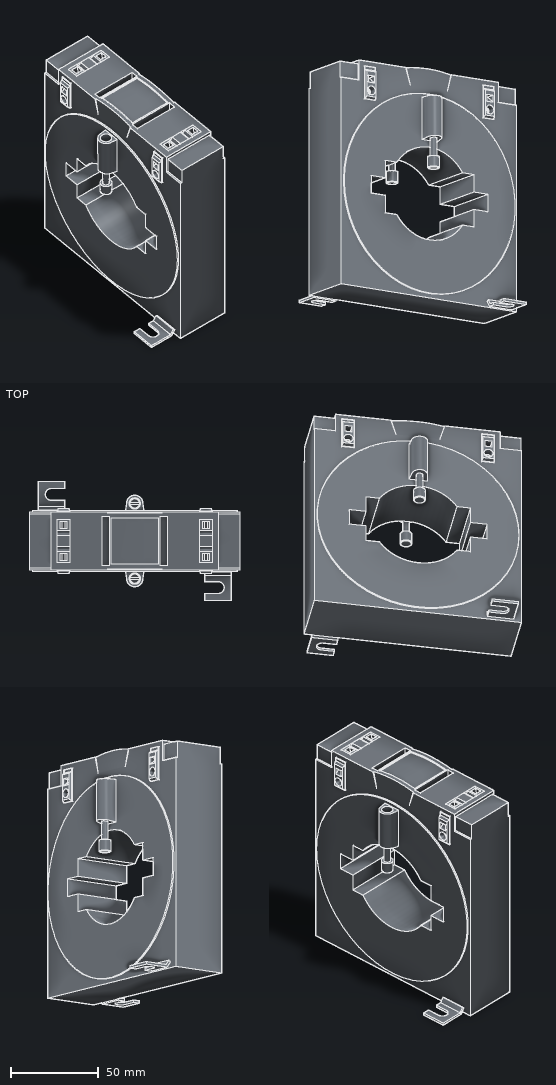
import cadquery as cq
import math


WIDTH = 120.0
HALF_DEPTH = 16.5
TOP_Z = 133.1
HEIGHT = 134.6

CORNER_INNER_X = 47.7
CORNER_TOP_Z = 131.0
CORNER_BOTTOM_Z = 121.4
CORNER_HALF_DEPTH = 15.5

WINDOW_Z = 61.0
DISC_RADIUS = 58.4
DISC_HALF_DEPTH = 17.5
WINDOW_RADIUS = 27.2
WIDE_BAR = (60.5, 30.7)
THIN_BAR = (79.8, 10.2)

LABEL_HALF_WIDTH = 15.5
LABEL_HALF_DEPTH = 15.9
LABEL_FOOT_HALF_WIDTH = 12.7
LABEL_FOOT_Z = 123.2
LABEL_POCKET_SIZE = (27.2, 26.3)
LABEL_POCKET_DEPTH = 0.8
GRIP_SLOT_X = 16.5
GRIP_SLOT_RADIUS = 2.2
GRIP_SLOT_LENGTH = 27.7
GRIP_SLOT_WALL_HEIGHT = 4.0

SCREW_Y = 21.4
TOWER_RADIUS = 4.7
TOWER_FOOT_HALF_WIDTH = 5.4
TOWER_TOP_Z = 116.9
TOWER_TIP_BOTTOM_Z = 93.3
TOWER_FOOT_BOTTOM_Z = 92.1
TOWER_BORE_RADIUS = 3.2
TOWER_BORE_FLOOR_Z = 96.3

SHANK_RADIUS = 1.9
SHANK_END_Z = 76.7
HEAD_RADIUS = 2.7
HEAD_HEIGHT = 3.4
DRIVER_SLOT_WIDTH = 1.1
DRIVER_SLOT_DEPTH = 1.1
CAP_TOP_Z = 81.8
CAP_BOTTOM_Z = 75.1
CAP_RADIUS = 3.4
CAP_EDGE = 0.4

TERMINAL_X = 40.5
TERMINAL_WIDTH = 7.3
TERMINAL_SHOULDER_Z = 130.0
TERMINAL_BOTTOM_Z = 110.8
TERMINAL_TOP_HALF_DEPTH = 12.3
TERMINAL_STEP_HALF_DEPTH = 17.1
TERMINAL_HALF_DEPTH = 18.6
NOSE_TOP_Z = 128.0
NOSE_FACE_TOP_Z = 127.0
NOSE_FACE_BOTTOM_Z = 112.1
NOSE_SIDE_TAPER = 0.5
TROUGH_Y = 4.6
TROUGH_RADIUS = 1.3
TOP_ENTRY_Y = 9.0
ENTRY_SIZE = 4.0
TOP_ENTRY_FLOOR = 1.6
TOP_ENTRY_DEPTH = 5.4
FRONT_ENTRY_TOP_Z = 124.4
FRONT_ENTRY_DEPTH = 5.4
TEST_HOLE_Z = 115.8
TEST_HOLE_RADIUS = 2.5
TEST_HOLE_FLOOR_RADIUS = 1.5
TEST_HOLE_DEPTH = 3.4
TEST_SOCKET_SIZE = 1.9
TEST_SOCKET_DEPTH = 4.7

FOOT_INNER_X = 39.8
FOOT_OUTER_X = 55.0
FOOT_SPAN = 68.0
FOOT_TIP_Y = FOOT_SPAN / 2
FOOT_BEND_Y = 19.0
FOOT_THICKNESS = 1.5
FOOT_CONTACT_Z = 3.4
FOOT_SLOT_Y = 26.5
FOOT_SLOT_WIDTH = 6.6
FOOT_SLOT_END_X = 50.9


def box(x_range, y_range, z_range):
    """Box between the given limits."""
    size = [high - low for low, high in (x_range, y_range, z_range)]
    return cq.Workplane("XY").box(*size, centered=False).translate((x_range[0], y_range[0], z_range[0]))


def cylinder(radius, y, bottom_z, top_z):
    """Vertical cylinder on the plane X = 0."""
    return cq.Workplane("XY", origin=(0, y, bottom_z)).circle(radius).extrude(top_z - bottom_z)


def both_sides(shape):
    """The shape together with its copy turned half a revolution about Z."""
    return [shape.rotate((0, 0, 0), (0, 0, 1), angle) for angle in (0, 180)]



def slab():
    body = box((-WIDTH / 2, WIDTH / 2), (-HALF_DEPTH, HALF_DEPTH), (0, TOP_Z))
    disc_plane = cq.Workplane("XZ", origin=(0, DISC_HALF_DEPTH, WINDOW_Z))
    body = body.union(disc_plane.circle(DISC_RADIUS).extrude(2 * DISC_HALF_DEPTH))
    corner = box((CORNER_INNER_X, WIDTH / 2), (-HALF_DEPTH, HALF_DEPTH), (CORNER_BOTTOM_Z, TOP_Z))
    kept = box((CORNER_INNER_X, WIDTH / 2), (-CORNER_HALF_DEPTH, CORNER_HALF_DEPTH),
               (CORNER_BOTTOM_Z, CORNER_TOP_Z))
    for step in both_sides(corner.cut(kept)):
        body = body.cut(step)
    return body


def conductor_window():
    plane = cq.Workplane("XZ", origin=(0, DISC_HALF_DEPTH, WINDOW_Z))
    window = plane.circle(WINDOW_RADIUS).extrude(2 * DISC_HALF_DEPTH)
    for bar in (WIDE_BAR, THIN_BAR):
        window = window.union(plane.rect(*bar).extrude(2 * DISC_HALF_DEPTH))
    return window


def dome(half_width, half_depth, lowering):
    """Solid under the label arc, down to the foot of the label flank, lowered by the given amount."""
    rise = HEIGHT - TOP_Z
    radius = (LABEL_HALF_WIDTH ** 2 + rise ** 2) / (2 * rise)
    edge_z = HEIGHT - radius + math.sqrt(radius ** 2 - half_width ** 2)
    return (
        cq.Workplane("XZ", origin=(0, half_depth, -lowering))
        .moveTo(-half_width, edge_z)
        .threePointArc((0, HEIGHT), (half_width, edge_z))
        .lineTo(half_width, LABEL_FOOT_Z)
        .lineTo(-half_width, LABEL_FOOT_Z)
        .close()
        .extrude(2 * half_depth)
    )


def label_flank():
    """Wedge that slopes the -Y flank of the label holder back from its foot to its top."""
    trapezoid = (
        cq.Workplane("XZ")
        .polyline([
            (-LABEL_FOOT_HALF_WIDTH, LABEL_FOOT_Z),
            (LABEL_FOOT_HALF_WIDTH, LABEL_FOOT_Z),
            (LABEL_HALF_WIDTH, TOP_Z),
            (LABEL_HALF_WIDTH, HEIGHT),
            (-LABEL_HALF_WIDTH, HEIGHT),
            (-LABEL_HALF_WIDTH, TOP_Z),
        ])
        .close()
        .extrude(HALF_DEPTH)
    )
    wedge = (
        cq.Workplane("YZ", origin=(-LABEL_HALF_WIDTH, 0, 0))
        .polyline([
            (-HALF_DEPTH, LABEL_FOOT_Z),
            (-LABEL_HALF_DEPTH, HEIGHT),
            (-HALF_DEPTH, HEIGHT),
        ])
        .close()
        .extrude(2 * LABEL_HALF_WIDTH)
    )
    return wedge.intersect(trapezoid)


def label_pocket():
    """Shallow pocket whose floor runs parallel to the dome."""
    pocket_width, pocket_depth = LABEL_POCKET_SIZE
    above = box((-pocket_width / 2, pocket_width / 2), (-pocket_depth / 2, pocket_depth / 2),
                (LABEL_FOOT_Z, HEIGHT))
    return above.cut(dome(pocket_width / 2, pocket_depth / 2, LABEL_POCKET_DEPTH))


def grip_slot():
    """Round-bottomed slot on the +X side of the label."""
    floor_centre_z = TOP_Z - GRIP_SLOT_WALL_HEIGHT
    half_length = GRIP_SLOT_LENGTH / 2
    plane = cq.Workplane("XZ", origin=(GRIP_SLOT_X, half_length, floor_centre_z))
    floor = plane.circle(GRIP_SLOT_RADIUS).extrude(GRIP_SLOT_LENGTH)
    walls = box((GRIP_SLOT_X - GRIP_SLOT_RADIUS, GRIP_SLOT_X + GRIP_SLOT_RADIUS),
                (-half_length, half_length), (floor_centre_z, HEIGHT))
    return floor.union(walls)


def add_label_holder(body):
    body = body.union(dome(LABEL_HALF_WIDTH, HALF_DEPTH, 0))
    for cutter in both_sides(label_flank()) + both_sides(grip_slot()):
        body = body.cut(cutter)
    return body.cut(label_pocket())


def screw_tower():
    """Tower on the -Y face: a round nose on a widening base, with a lower end that slopes inward."""
    foot_y = -HALF_DEPTH
    height = TOWER_TOP_Z - TOWER_FOOT_BOTTOM_Z
    tower = (
        cq.Workplane("XY", origin=(0, 0, TOWER_FOOT_BOTTOM_Z))
        .moveTo(-TOWER_FOOT_HALF_WIDTH, foot_y)
        .lineTo(-TOWER_RADIUS, -SCREW_Y)
        .threePointArc((0, -SCREW_Y - TOWER_RADIUS), (TOWER_RADIUS, -SCREW_Y))
        .lineTo(TOWER_FOOT_HALF_WIDTH, foot_y)
        .close()
        .extrude(height)
    )
    tip_y = -SCREW_Y - TOWER_RADIUS
    slope = (
        cq.Workplane("YZ", origin=(-TOWER_FOOT_HALF_WIDTH, 0, 0))
        .polyline([
            (-DISC_HALF_DEPTH, TOWER_FOOT_BOTTOM_Z),
            (tip_y, TOWER_TIP_BOTTOM_Z),
            (tip_y, TOWER_FOOT_BOTTOM_Z),
        ])
        .close()
        .extrude(2 * TOWER_FOOT_HALF_WIDTH)
    )
    return tower.cut(slope)


def tower_bore():
    bore = cylinder(TOWER_BORE_RADIUS, -SCREW_Y, TOWER_BORE_FLOOR_Z, TOWER_TOP_Z)
    return bore.union(cylinder(SHANK_RADIUS, -SCREW_Y, TOWER_FOOT_BOTTOM_Z, TOWER_TOP_Z))


def make_housing():
    body = add_label_holder(slab())
    for tower in both_sides(screw_tower()):
        body = body.union(tower)
    for bore in both_sides(tower_bore()):
        body = body.cut(bore)
    body = body.cut(conductor_window())
    for seat in both_sides(terminal_blank()):
        body = body.cut(seat)
    return body



def terminal_blank():
    """Solid terminal block on the +X side, before its openings; also the shape of its seat."""
    left_x = TERMINAL_X - TERMINAL_WIDTH / 2
    right_x = TERMINAL_X + TERMINAL_WIDTH / 2
    blank = box((left_x, right_x), (-TERMINAL_STEP_HALF_DEPTH, TERMINAL_STEP_HALF_DEPTH),
                (TERMINAL_BOTTOM_Z, TERMINAL_SHOULDER_Z))
    blank = blank.union(box((left_x, right_x), (-TERMINAL_TOP_HALF_DEPTH, TERMINAL_TOP_HALF_DEPTH),
                            (TERMINAL_BOTTOM_Z, TOP_Z)))
    nose = terminal_nose()
    return blank.union(nose).union(nose.mirror("XZ"))


def terminal_nose():
    """Connector nose on the -Y face, narrowing outward on every side."""
    base_height = NOSE_TOP_Z - TERMINAL_BOTTOM_Z
    face_height = NOSE_FACE_TOP_Z - NOSE_FACE_BOTTOM_Z
    base_z = (NOSE_TOP_Z + TERMINAL_BOTTOM_Z) / 2
    face_z = (NOSE_FACE_TOP_Z + NOSE_FACE_BOTTOM_Z) / 2
    return (
        cq.Workplane("XZ", origin=(TERMINAL_X, -TERMINAL_STEP_HALF_DEPTH, base_z))
        .rect(TERMINAL_WIDTH, base_height)
        .workplane(offset=TERMINAL_HALF_DEPTH - TERMINAL_STEP_HALF_DEPTH)
        .center(0, face_z - base_z)
        .rect(TERMINAL_WIDTH - 2 * NOSE_SIDE_TAPER, face_height)
        .loft(ruled=True)
    )


def top_openings():
    """Cross troughs and wedge-shaped wire entries in the top of the terminal."""
    trough_plane = cq.Workplane("YZ", origin=(TERMINAL_X - TERMINAL_WIDTH / 2, 0, TOP_Z))
    troughs = trough_plane.pushPoints([(-TROUGH_Y, 0), (TROUGH_Y, 0)]).circle(TROUGH_RADIUS)
    cutter = troughs.extrude(TERMINAL_WIDTH)
    for entry_y in (-TOP_ENTRY_Y, TOP_ENTRY_Y):
        entry = (
            cq.Workplane("XZ", origin=(TERMINAL_X, entry_y + ENTRY_SIZE / 2, TOP_Z))
            .polyline([
                (-ENTRY_SIZE / 2, 0),
                (-TOP_ENTRY_FLOOR / 2, -TOP_ENTRY_DEPTH),
                (TOP_ENTRY_FLOOR / 2, -TOP_ENTRY_DEPTH),
                (ENTRY_SIZE / 2, 0),
            ])
            .close()
            .extrude(ENTRY_SIZE)
        )
        cutter = cutter.union(entry)
    return cutter


def nose_openings():
    """Ramped wire entry, and round test hole with a square socket, in the -Y nose."""
    face_y = -TERMINAL_HALF_DEPTH
    entry = (
        cq.Workplane("YZ", origin=(TERMINAL_X - ENTRY_SIZE / 2, 0, 0))
        .polyline([
            (face_y, FRONT_ENTRY_TOP_Z),
            (face_y + FRONT_ENTRY_DEPTH, FRONT_ENTRY_TOP_Z),
            (face_y, FRONT_ENTRY_TOP_Z - ENTRY_SIZE),
        ])
        .close()
        .extrude(ENTRY_SIZE)
    )
    test_hole = (
        cq.Workplane("XZ", origin=(TERMINAL_X, face_y, TEST_HOLE_Z))
        .circle(TEST_HOLE_RADIUS)
        .workplane(offset=-TEST_HOLE_DEPTH)
        .circle(TEST_HOLE_FLOOR_RADIUS)
        .loft()
    )
    socket = (
        cq.Workplane("XZ", origin=(TERMINAL_X, face_y, TEST_HOLE_Z))
        .rect(TEST_SOCKET_SIZE, TEST_SOCKET_SIZE)
        .extrude(-TEST_SOCKET_DEPTH)
    )
    return entry.union(test_hole).union(socket)


def make_terminal():
    nose_cutter = nose_openings()
    return terminal_blank().cut(top_openings()).cut(nose_cutter).cut(nose_cutter.mirror("XZ"))



def make_screw():
    head_top_z = TOWER_BORE_FLOOR_Z + HEAD_HEIGHT
    screw = cylinder(SHANK_RADIUS, -SCREW_Y, SHANK_END_Z, head_top_z)
    screw = screw.union(cylinder(HEAD_RADIUS, -SCREW_Y, TOWER_BORE_FLOOR_Z, head_top_z))
    driver_slot = box((-HEAD_RADIUS, HEAD_RADIUS),
                      (-SCREW_Y - DRIVER_SLOT_WIDTH / 2, -SCREW_Y + DRIVER_SLOT_WIDTH / 2),
                      (head_top_z - DRIVER_SLOT_DEPTH, head_top_z))
    return screw.cut(driver_slot)


def make_cap():
    cap = cylinder(CAP_RADIUS, -SCREW_Y, CAP_BOTTOM_Z, CAP_TOP_Z).faces("<Z").chamfer(CAP_EDGE)
    return cap.cut(cylinder(SHANK_RADIUS, -SCREW_Y, SHANK_END_Z, CAP_TOP_Z))



def make_foot():
    """Foot on the -Y side: flat sole, then a bent-up flank whose edge meets the housing wall."""
    lean = math.atan2(FOOT_CONTACT_Z, FOOT_BEND_Y - HALF_DEPTH)
    upper_edge = (
        -HALF_DEPTH - FOOT_THICKNESS * math.sin(lean),
        FOOT_CONTACT_Z + FOOT_THICKNESS * math.cos(lean),
    )
    upper_bend_y = -FOOT_BEND_Y - FOOT_THICKNESS * math.tan(lean / 2)
    foot = (
        cq.Workplane("YZ", origin=(FOOT_INNER_X, 0, 0))
        .polyline([
            (-FOOT_TIP_Y, 0),
            (-FOOT_BEND_Y, 0),
            (-HALF_DEPTH, FOOT_CONTACT_Z),
            upper_edge,
            (upper_bend_y, FOOT_THICKNESS),
            (-FOOT_TIP_Y, FOOT_THICKNESS),
        ])
        .close()
        .extrude(FOOT_OUTER_X - FOOT_INNER_X)
    )
    slot_length = 2 * (FOOT_SLOT_END_X - FOOT_INNER_X)
    slot_plane = cq.Workplane("XY", origin=(FOOT_INNER_X, -FOOT_SLOT_Y, 0))
    return foot.cut(slot_plane.slot2D(slot_length, FOOT_SLOT_WIDTH).extrude(FOOT_THICKNESS))



housing = make_housing()
terminals = both_sides(make_terminal())
screws = both_sides(make_screw())
caps = both_sides(make_cap())
feet = both_sides(make_foot())

result = cq.Compound.makeCompound(
    [housing.val()] + [body.val() for body in terminals + screws + caps + feet]
)